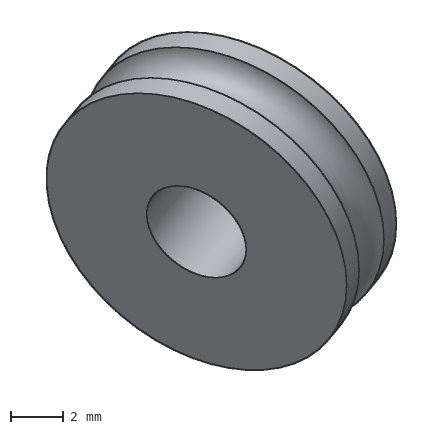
import cadquery as cq

outer_diameter = 13.0
width = 4.0
bore_diameter = 4.3
groove_radius = width / 4

outer_radius = outer_diameter / 2
bore_radius = bore_diameter / 2
half_width = width / 2

section = (
    cq.Workplane("XY")
    .moveTo(bore_radius, -half_width)
    .lineTo(outer_radius, -half_width)
    .lineTo(outer_radius, -groove_radius)
    .threePointArc((outer_radius - groove_radius, 0), (outer_radius, groove_radius))
    .lineTo(outer_radius, half_width)
    .lineTo(bore_radius, half_width)
    .close()
)

result = section.revolve(360, (0, 0, 0), (0, 1, 0))